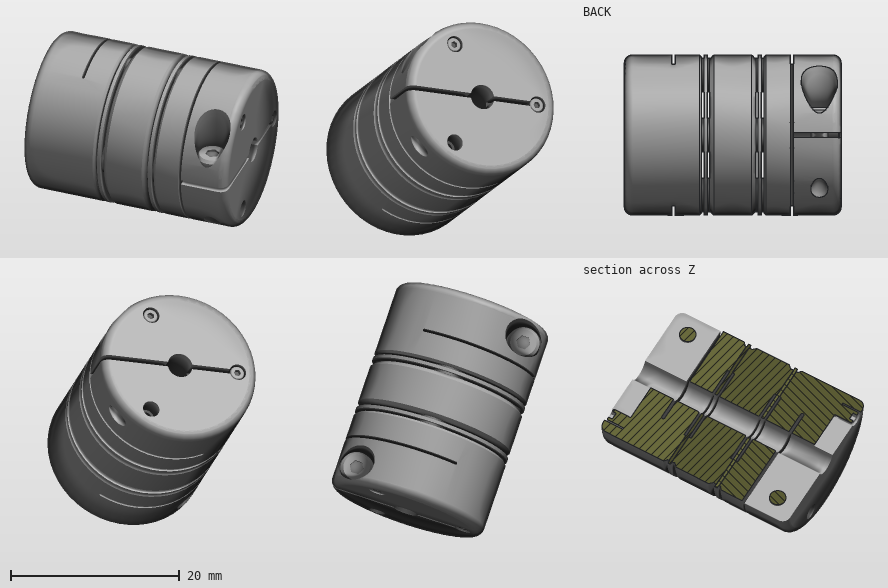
import cadquery as cq
import math


length = 25.7
outer_diameter = 19.0
outer_radius = outer_diameter / 2
bore_diameter = 3.0

spacer_length = 5.45
spacer_chamfer = 0.5
disk_thickness = 0.39
disk_gap = 0.28
spacer_face = spacer_length / 2
disk_inner_face = spacer_face + disk_gap
disk_outer_face = disk_inner_face + disk_thickness
hub_face = disk_outer_face + disk_gap
hub_end = length / 2
hub_chamfer = 0.28
hub_fillet = 1.0

bolt_circle_radius = 7.1

boss_count = 4
boss_diameter = 4.0

slit_width = 0.6
blind_slit_depth = 2.5
slot_width = 0.35
slot_x = 7.02
slot_reach = 4.47

clamp_x = 10.25
clamp_y = 7.0
clamp_hole_diameter = 2.0
counterbore_diameter = 4.3
head_diameter = 3.8
head_height = 2.0
head_chamfer = 0.33
head_top_z = 3.3
head_seat_z = head_top_z - head_height
clamp_shank_length = 6.0
clamp_socket_width = 1.5
clamp_socket_depth = 0.25

end_hole_diameter = 2.0
end_hole_depth = 2.5
end_screw_places = ((180, 0), (60, 30))
open_hole_angle = -60
pilot_diameter = 1.4
end_screw_diameter = 1.7
end_screw_recess = 0.2
end_screw_chamfer = 0.1
end_screw_socket_width = 0.75
end_screw_socket_depth = 0.51


def x_cylinder(diameter, start, end, y=0.0, z=0.0):
    """Cylinder parallel to X between two X positions."""
    return (
        cq.Workplane("YZ", origin=(start, y, z))
        .circle(diameter / 2)
        .extrude(end - start)
    )


def z_cylinder(diameter, start, end, x, y):
    """Cylinder parallel to Z between two Z positions."""
    return (
        cq.Workplane("XY", origin=(x, y, start))
        .circle(diameter / 2)
        .extrude(end - start)
    )


def hexagon_corner_diameter(width_across_flats):
    """Diameter of the circle through the corners of a hexagon."""
    return width_across_flats / math.cos(math.radians(30))


def on_bolt_circle(angle):
    """Y and Z of a point on the bolt circle, with the angle measured from +Y towards +Z."""
    turn = math.radians(angle)
    return bolt_circle_radius * math.cos(turn), bolt_circle_radius * math.sin(turn)


def half_turn(body):
    """The same body on the other side of the coupling."""
    return body.rotate((0, 0, 0), (0, 0, 1), 180)


def add_bosses(body, start, end):
    """Join the ring of bosses that fills one gap."""
    for index in range(boss_count):
        y, z = on_bolt_circle(index * 360 / boss_count)
        body = body.union(x_cylinder(boss_diameter, start, end, y, z))
    return body


def cut_clamp_hole(hub):
    """Through hole for the clamp screw, counterbored from +Z."""
    hole = z_cylinder(clamp_hole_diameter, -outer_radius, head_seat_z, -clamp_x, clamp_y)
    counterbore = z_cylinder(counterbore_diameter, head_seat_z, outer_radius, -clamp_x, clamp_y)
    return hub.cut(hole).cut(counterbore)


def cut_end_hole(hub, angle):
    """Flat-bottomed hole in the end face."""
    y, z = on_bolt_circle(angle)
    return hub.cut(x_cylinder(end_hole_diameter, -hub_end, -hub_end + end_hole_depth, y, z))


def cut_pilot(hub, angle):
    """Narrower hole from the bottom of an end hole on to the slot."""
    y, z = on_bolt_circle(angle)
    return hub.cut(x_cylinder(pilot_diameter, -hub_end + end_hole_depth, -slot_x, y, z))


def slit_box(depth, reach):
    """Slit in the plane z = 0, from the axis towards +Y and from the end face inwards."""
    box = cq.Workplane("XY").box(depth, reach, slit_width, centered=(False, False, True))
    return box.translate((-hub_end, 0, 0))


def cut_slits(hub):
    """Slit from the bore through the +Y side, and a blind one to the hole on the -Y side."""
    through_slit = slit_box(hub_end - slot_x, outer_radius)
    blind_slit = slit_box(blind_slit_depth, bolt_circle_radius)
    blind_slit = blind_slit.translate((0, -bolt_circle_radius, 0))
    return hub.cut(through_slit).cut(blind_slit)


def cut_slot(hub):
    """Round-ended slot across the hub that frees the clamping half from the rest."""
    slot_radius = slot_width / 2
    end_centre = -slot_reach + slot_radius
    slot = (
        cq.Workplane("XY")
        .moveTo(-slot_x - slot_radius, outer_radius)
        .lineTo(-slot_x - slot_radius, end_centre)
        .threePointArc((-slot_x, -slot_reach), (-slot_x + slot_radius, end_centre))
        .lineTo(-slot_x + slot_radius, outer_radius)
        .close()
        .extrude(outer_radius, both=True)
    )
    return hub.cut(slot)


def clamp_screw():
    """Socket head screw, seated in the counterbore, that becomes part of its hub."""
    head = z_cylinder(head_diameter, head_seat_z, head_top_z, -clamp_x, clamp_y)
    head = head.faces(">Z").chamfer(head_chamfer)
    shank_end_z = head_seat_z - clamp_shank_length
    shank = z_cylinder(clamp_hole_diameter, shank_end_z, head_seat_z, -clamp_x, clamp_y)
    socket = (
        cq.Workplane("XY", origin=(-clamp_x, clamp_y, head_top_z))
        .transformed(rotate=(0, 0, 90))
        .polygon(6, hexagon_corner_diameter(clamp_socket_width))
        .extrude(-clamp_socket_depth)
    )
    return head.union(shank).cut(socket)


def end_screw(angle, hexagon_turn):
    """Socket screw, standing clear on the bottom of an end hole, that becomes part of its hub."""
    y, z = on_bolt_circle(angle)
    top_x = -hub_end + end_screw_recess
    screw = x_cylinder(end_screw_diameter, top_x, -hub_end + end_hole_depth, y, z)
    screw = screw.faces("<X").chamfer(end_screw_chamfer)
    socket = (
        cq.Workplane("YZ", origin=(top_x, y, z))
        .transformed(rotate=(0, 0, hexagon_turn))
        .polygon(6, hexagon_corner_diameter(end_screw_socket_width))
        .extrude(end_screw_socket_depth)
    )
    return screw.cut(socket)


def make_hub():
    """Clamping hub with its screws and the bosses that carry its disk."""
    hub = x_cylinder(outer_diameter, -hub_end, -hub_face)
    hub = hub.faces("<X").edges().fillet(hub_fillet)
    hub = hub.faces(">X").edges().chamfer(hub_chamfer)
    hub = cut_clamp_hole(hub)
    hub = cut_slits(hub)
    hub = cut_slot(hub)
    hub = hub.cut(x_cylinder(bore_diameter, -hub_end, -hub_face))
    hub = add_bosses(hub, -hub_face, -disk_outer_face)
    hub = hub.union(clamp_screw())
    for angle, hexagon_turn in end_screw_places:
        hub = cut_end_hole(hub, angle)
        hub = hub.union(end_screw(angle, hexagon_turn))
    hub = cut_end_hole(hub, open_hole_angle)
    return cut_pilot(hub, open_hole_angle)


def make_disk():
    """Flat spring disk with the shaft bore."""
    disk = x_cylinder(outer_diameter, -disk_outer_face, -disk_inner_face)
    return disk.cut(x_cylinder(bore_diameter, -disk_outer_face, -disk_inner_face))


def make_spacer():
    """Centre ring with bosses towards both disks."""
    spacer = x_cylinder(outer_diameter, -spacer_face, spacer_face)
    spacer = spacer.edges().chamfer(spacer_chamfer)
    spacer = spacer.cut(x_cylinder(bore_diameter, -spacer_face, spacer_face))
    spacer = add_bosses(spacer, -disk_inner_face, -spacer_face)
    return add_bosses(spacer, spacer_face, disk_inner_face)


hub = make_hub()
disk = make_disk()
spacer = make_spacer()
hubs = [hub, half_turn(hub)]
disks = [disk, half_turn(disk)]

result = cq.Compound.makeCompound([body.solids().val() for body in [*hubs, *disks, spacer]])